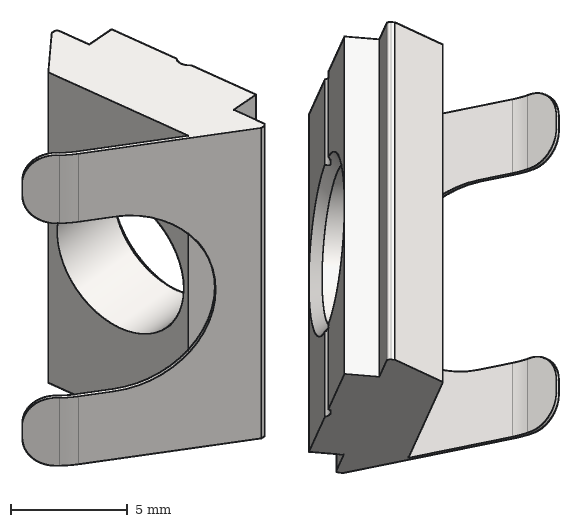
import cadquery as cq
import math

length = 16.0
width = 11.62
neck_width = 8.0
base_width = 8.0
neck_depth = 1.52
wing_edge = 0.34
wing_radius = 0.16
block_depth = 4.3
hole_diameter = 7.0
hole_chamfer = 0.48
groove_width = 0.8
groove_depth = 0.18

total_depth = 10.0
leaf_thickness = 0.2
bend_start_depth = 8.38
bend_radius = 3.44
tip_angle = math.radians(40)
tip_corner_radius = 1.44
window_width = 9.0
window_center_x = 1.94

flank_top = neck_depth + wing_edge
flank_angle = math.atan2(block_depth - flank_top, (width - base_width) / 2)


def along(point, angle, distance):
    """Move down the leaf, towards -X and -Y, at an angle from the X axis."""
    return (point[0] - distance * math.cos(angle), point[1] - distance * math.sin(angle))


def inward(point, angle, distance):
    """Move from the outer face of the leaf square to its inner face."""
    return (point[0] - distance * math.sin(angle), point[1] + distance * math.cos(angle))


def extrude_centered(sketch):
    return sketch.extrude(length / 2, both=True)


def make_block():
    half_neck = neck_width / 2
    half_width = width / 2
    half_base = base_width / 2
    half_groove = groove_width / 2
    profile = (
        cq.Workplane("XY")
        .moveTo(half_groove, 0)
        .lineTo(half_neck, 0)
        .lineTo(half_neck, -neck_depth)
        .lineTo(half_width - wing_radius, -neck_depth)
        .radiusArc((half_width, -neck_depth - wing_radius), wing_radius)
        .lineTo(half_width, -flank_top)
        .lineTo(half_base, -block_depth)
        .lineTo(-half_base, -block_depth)
        .lineTo(-half_width, -flank_top)
        .lineTo(-half_width, -neck_depth - wing_radius)
        .radiusArc((-half_width + wing_radius, -neck_depth), wing_radius)
        .lineTo(-half_neck, -neck_depth)
        .lineTo(-half_neck, 0)
        .lineTo(-half_groove, 0)
        .threePointArc((0, -groove_depth), (half_groove, 0))
        .close()
    )
    hole = cq.Workplane("XZ").circle(hole_diameter / 2).extrude(block_depth)
    rim = cq.Solid.makeCone(
        hole_diameter / 2 + hole_chamfer,
        hole_diameter / 2,
        hole_chamfer,
        dir=cq.Vector(0, -1, 0),
    )
    return extrude_centered(profile).cut(hole).cut(cq.Workplane(rim))


def point_on_flank(x):
    """Point on the outer flank plane, which is also the outer leaf face."""
    return (x, -block_depth - (base_width / 2 - x) * math.tan(flank_angle))


def make_window(depth):
    """U-shaped cutter, square to the flank and sunk to the given depth."""
    center = point_on_flank(window_center_x)
    inward_normal = (-math.sin(flank_angle), math.cos(flank_angle), 0)
    down_leaf = (-math.cos(flank_angle), -math.sin(flank_angle), 0)
    plane = cq.Plane(origin=(*center, 0), xDir=down_leaf, normal=inward_normal)
    radius = window_width / 2
    return (
        cq.Workplane(plane)
        .moveTo(0, radius)
        .threePointArc((-radius, 0), (0, -radius))
        .lineTo(total_depth, -radius)
        .lineTo(total_depth, radius)
        .close()
        .extrude(depth)
    )


def make_leaf():
    root = (base_width / 2, -block_depth)
    bend_run = (bend_start_depth - block_depth) / math.sin(flank_angle)
    bend_start = along(root, flank_angle, bend_run)
    bend_center = inward(bend_start, flank_angle, bend_radius)

    def on_bend(angle):
        return inward(bend_center, angle, -bend_radius)

    bend_end = on_bend(tip_angle)
    tip = along(bend_end, tip_angle, (total_depth + bend_end[1]) / math.sin(tip_angle))
    mid_angle = (flank_angle + tip_angle) / 2
    bend_middle = on_bend(mid_angle)

    profile = (
        cq.Workplane("XY")
        .moveTo(*root)
        .lineTo(*bend_start)
        .threePointArc(bend_middle, bend_end)
        .lineTo(*tip)
        .lineTo(*inward(tip, tip_angle, leaf_thickness))
        .lineTo(*inward(bend_end, tip_angle, leaf_thickness))
        .threePointArc(
            inward(bend_middle, mid_angle, leaf_thickness),
            inward(bend_start, flank_angle, leaf_thickness),
        )
        .lineTo(*inward(root, flank_angle, leaf_thickness))
        .close()
    )
    tongues = extrude_centered(profile).cut(make_window(block_depth))
    tip_normal = cq.Vector(-math.sin(tip_angle), math.cos(tip_angle), 0)
    tip_corners = cq.selectors.ParallelDirSelector(tip_normal)
    return tongues.edges(tip_corners).fillet(tip_corner_radius)


block = make_block().cut(make_window(leaf_thickness))
result = block.union(make_leaf())